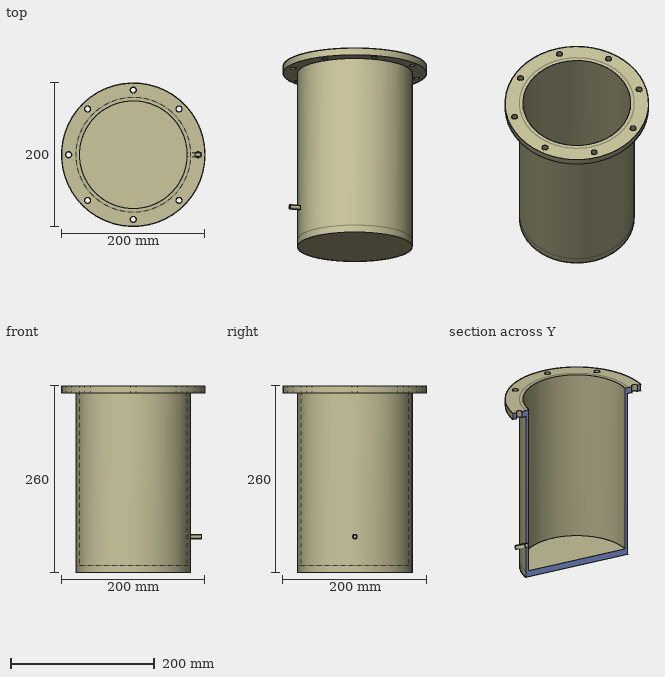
import cadquery as cq

tube_diameter = 160.0
bore_diameter = 150.0
total_height = 260.0
base_thickness = 10.0
tube_radius = tube_diameter / 2

flange_diameter = 200.0
flange_thickness = 10.0
bolt_hole_diameter = 8.0
bolt_circle_diameter = (flange_diameter + tube_diameter) / 2
bolt_count = 8

port_diameter = 6.35
port_bore_diameter = 5.0
port_length = 15.0
port_height = 50.0
port_end = tube_radius + port_length


def side_cylinder(diameter, end):
    """Cylinder along the port axis, from the chamber centre line out to x = end."""
    return (
        cq.Workplane("YZ")
        .center(0, port_height)
        .circle(diameter / 2)
        .extrude(end)
    )


def make_tube():
    return (
        cq.Workplane("XY")
        .workplane(offset=base_thickness)
        .circle(tube_radius)
        .circle(bore_diameter / 2)
        .extrude(total_height - base_thickness)
    )


def make_flange():
    """Ring around the tube, flush with its top, with a circle of bolt holes."""
    ring = (
        cq.Workplane("XY")
        .workplane(offset=total_height - flange_thickness)
        .circle(flange_diameter / 2)
        .circle(tube_radius)
        .extrude(flange_thickness)
    )
    return (
        ring.faces(">Z")
        .workplane(origin=(0, 0, total_height))
        .polarArray(bolt_circle_diameter / 2, 0, 360, bolt_count)
        .hole(bolt_hole_diameter)
    )


def make_chamber():
    """Base, tube and flange as one solid; clean=False keeps the joint edges on the surface."""
    base = cq.Workplane("XY").circle(tube_radius).extrude(base_thickness)
    shell = base.union(make_tube(), clean=False).union(make_flange(), clean=False)
    return shell.cut(side_cylinder(port_bore_diameter, tube_diameter), clean=False)


def make_port():
    """Hollow pipe whose inner end is curved to sit against the tube wall."""
    tube_envelope = cq.Workplane("XY").circle(tube_radius).extrude(total_height)
    return (
        side_cylinder(port_diameter, port_end)
        .cut(side_cylinder(port_bore_diameter, port_end))
        .cut(tube_envelope)
    )


chamber = make_chamber()
port = make_port()

result = cq.Compound.makeCompound([*chamber.solids().vals(), *port.solids().vals()])